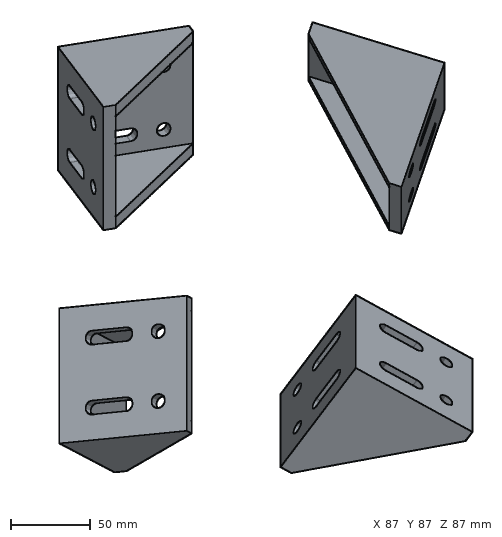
import cadquery as cq

size = 87.0
wall = 8.1
gusset = 8.1

hole_diameter = 9.0
hole_position = 67.5
slot_start = 18.0
slot_end = 49.9
slot_length = slot_end - slot_start
slot_position = (slot_start + slot_end) / 2
row_spacing = 45.0
row_centre = size / 2
row_heights = [row_centre - row_spacing / 2, row_centre + row_spacing / 2]


def triangular_block():
    """Solid envelope with the far corner cut away diagonally."""
    outline = [(0, 0), (size, 0), (size, wall), (wall, size), (0, size)]
    return cq.Workplane("XY").polyline(outline).close().extrude(size)


def inner_space():
    """Space between the walls and plates, open along the diagonal."""
    side = size - wall
    height = size - 2 * gusset
    return cq.Workplane("XY").box(side, side, height, centered=False).translate((wall, wall, gusset))


def wall_openings(plane, depth):
    """Slots and round holes of one wall, cut from its outer face."""
    slots = (
        cq.Workplane(plane)
        .pushPoints([(slot_position, height) for height in row_heights])
        .slot2D(slot_length, hole_diameter)
        .extrude(depth)
    )
    holes = (
        cq.Workplane(plane)
        .pushPoints([(hole_position, height) for height in row_heights])
        .circle(hole_diameter / 2)
        .extrude(depth)
    )
    return slots.union(holes)


result = (
    triangular_block()
    .cut(inner_space())
    .cut(wall_openings("XZ", -wall))
    .cut(wall_openings("YZ", wall))
)